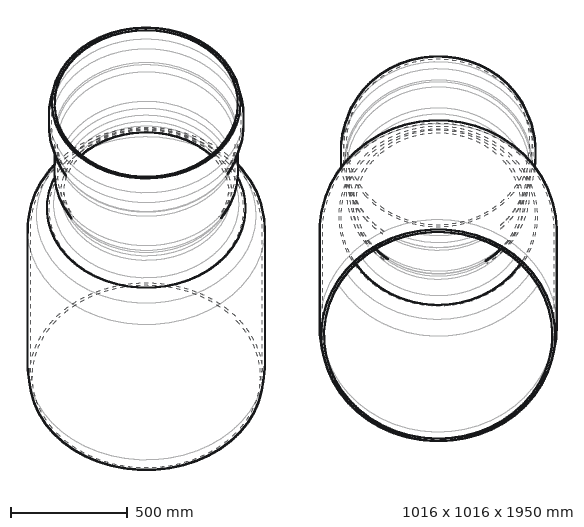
import cadquery as cq
import math

wall = 12.0
total_height = 1950.0

barrel_radius = 1016.0 / 2
neck_radius = 730.0 / 2
collar_radius = 784.0 / 2
bell_radius = 834.0 / 2

taper_height = 83.0
taper_depth = 8.0

barrel_top = 1048.0
neck_height = 32.0
collar_height = 210.0
bell_height = 70.0

shoulder_tilt = 41.5
shoulder_outer_bend = 153.0
shoulder_inner_bend = 125.0
seam_to_neck_bend = 43.0

collar_tilt = -21.5
neck_bend = 87.0
collar_bend = 121.0

bell_tilt = -20.0
bell_foot_bend = 111.0
bell_bend = 241.0
mouth_bend = 260.0


def cone_length(radius_change, bend_sum, tilt):
    """Straight length left between two bends that turn to the given tilt and back."""
    lean = math.radians(abs(tilt))
    return (radius_change - bend_sum * (1 - math.cos(lean))) / math.sin(lean)


shoulder_length = cone_length(
    barrel_radius - neck_radius, shoulder_outer_bend + shoulder_inner_bend, shoulder_tilt
)
collar_cone_length = cone_length(collar_radius - neck_radius, neck_bend + collar_bend, collar_tilt)
bell_cone_length = cone_length(bell_radius - collar_radius, bell_foot_bend + bell_bend, bell_tilt)


def moved(point, distance, angle):
    """Point moved in the (radius, height) plane; angle 0 is outward, 90 is up."""
    radians = math.radians(angle)
    return (point[0] + distance * math.cos(radians), point[1] + distance * math.sin(radians))


def walk_piece(point, tilt, piece, depth):
    """Return the piece's end on the outer face, its end tilt, and its edge at a depth in the wall."""
    if piece[0] == "straight":
        end = moved(point, piece[1], tilt + 90)
        edge = cq.Edge.makeLine(
            cq.Vector(*moved(point, -depth, tilt)), cq.Vector(*moved(end, -depth, tilt))
        )
        return end, tilt, edge
    _, bend_radius, end_tilt = piece
    signed_radius = math.copysign(bend_radius, end_tilt - tilt)
    centre = moved(point, -signed_radius, tilt)
    start, middle, finish = [
        cq.Vector(*moved(centre, signed_radius - depth, angle))
        for angle in (tilt, (tilt + end_tilt) / 2, end_tilt)
    ]
    edge = cq.Edge.makeThreePointArc(start, middle, finish)
    return moved(centre, signed_radius, end_tilt), end_tilt, edge


def walk(point, tilt, pieces, depth=0.0):
    """Walk all the pieces; return the end on the outer face, its tilt, and the edges at the depth."""
    edges = []
    for piece in pieces:
        point, tilt, edge = walk_piece(point, tilt, piece, depth)
        edges.append(edge)
    return point, tilt, edges


def wall_ring(start, tilt, pieces):
    """Revolve a wall run of constant thickness about Z."""
    outer = walk(start, tilt, pieces)[2]
    inner = walk(start, tilt, pieces, wall)[2]
    foot = cq.Edge.makeLine(inner[0].startPoint(), outer[0].startPoint())
    rim = cq.Edge.makeLine(outer[-1].endPoint(), inner[-1].endPoint())
    section = cq.Wire.assembleEdges([foot, *outer, rim, *reversed(inner)])
    face = cq.Workplane("XZ").newObject([section.rotate(cq.Vector(), cq.Vector(1, 0, 0), 90)])
    return face.toPending().revolve(360, (0, 0, 0), (0, 1, 0))


barrel_start = (barrel_radius, taper_height)
barrel_pieces = [
    ("straight", barrel_top - taper_height),
    ("bend", shoulder_outer_bend, shoulder_tilt),
    ("straight", shoulder_length - seam_to_neck_bend),
]
seam_point, seam_tilt, _ = walk(barrel_start, 0.0, barrel_pieces)
tapered_end = (
    cq.Workplane("XZ")
    .moveTo(barrel_radius - taper_depth, 0)
    .lineTo(barrel_radius, taper_height)
    .lineTo(barrel_radius - wall, taper_height)
    .lineTo(barrel_radius - taper_depth - wall, 0)
    .close()
    .revolve(360, (0, 0, 0), (0, 1, 0))
)
barrel = wall_ring(barrel_start, 0.0, barrel_pieces).union(tapered_end)

socket_pieces = [
    ("straight", seam_to_neck_bend),
    ("bend", shoulder_inner_bend, 0.0),
    ("straight", neck_height),
    ("bend", neck_bend, collar_tilt),
    ("straight", collar_cone_length),
    ("bend", collar_bend, 0.0),
    ("straight", collar_height),
    ("bend", bell_foot_bend, bell_tilt),
    ("straight", bell_cone_length),
    ("bend", bell_bend, 0.0),
    ("straight", bell_height),
]
bell_top = walk(seam_point, seam_tilt, socket_pieces)[0][1]
mouth_tilt = math.degrees(math.asin((total_height - bell_top) / mouth_bend))
socket_pieces.append(("bend", mouth_bend, mouth_tilt))
socket = wall_ring(seam_point, seam_tilt, socket_pieces)

result = cq.Compound.makeCompound([barrel.val(), socket.val()])